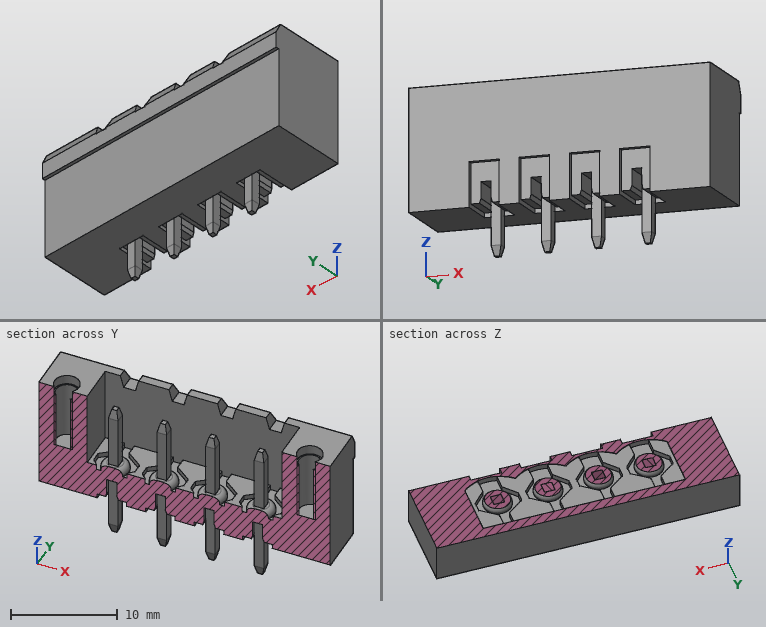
import cadquery as cq

LENGTH = 30
HEIGHT = 12
POLES = 4
PITCH = LENGTH / 6
POLE_XS = [(i - (POLES - 1) / 2) * PITCH for i in range(POLES)]
INSERT_XS = [-LENGTH / 2 + PITCH / 2, LENGTH / 2 - PITCH / 2]
PIN_Y = 3.8

LIP_Y = 8.5
REAR_Y = 8.13
LIP_BOTTOM_Z = 9
LIP_CHAMFER_DEPTH = 0.6
LIP_CHAMFER_HEIGHT = 1.2

CAVITY_REAR_Y = 7.0
SCALLOP_CUSP_Y = 1.7
SCALLOP_FRONT_Y = 0.8
FLOOR_Z = 4.0

RECESS_DEPTH = 0.5
RECESS_WIDTH = 4.25
RECESS_FRONT_WIDTH = 1.9
RECESS_REAR_WIDTH = 1.0
RECESS_FRONT_NECK_Y = 2.35
RECESS_WIDE_FRONT_Y = 3.6
RECESS_WIDE_REAR_Y = 4.6
RECESS_REAR_NECK_Y = 5.82

COLLAR_DIAMETER = 2.8
COLLAR_ROUNDING = 0.6
COLLAR_HEIGHT = 0.75

NOTCH_TOP_WIDTH = 1.9
NOTCH_BOTTOM_WIDTH = 1.2
NOTCH_DEPTH = 1.3

WINDOW_WIDTH = 3
WINDOW_HEIGHT = 4.4
WINDOW_DEPTH = 0.55
GROOVE_HEIGHT = 0.45
SLOT_HEIGHT = 2.52
FLARE_TOP_Z = 0.9
FLARE_WIDTH = 0.15

PIN_WIDTH = 1.0
PIN_TIP_WIDTH = 0.5
PIN_TAPER = 1.0
PIN_BOTTOM_Z = -4.0
PIN_TOP_Z = 10.75
PIN_REAR_Y = PIN_Y + PIN_WIDTH / 2

INSERT_DIAMETER = 2.5
INSERT_BORE = 2.2
INSERT_LENGTH = 6
INSERT_TOP_Z = 11.0
INSERT_BOTTOM_Z = INSERT_TOP_Z - INSERT_LENGTH


def block(width, x, y_start, y_end, z_start, z_end):
    """Box centred on x, between the given y and z limits."""
    return cq.Workplane("XY").box(
        width, y_end - y_start, z_end - z_start, centered=(True, False, False)
    ).translate((x, y_start, z_start))


def cylinder(diameter, x, y, z_start, z_end):
    """Upright cylinder between two heights."""
    return cq.Workplane("XY").circle(diameter / 2).extrude(z_end - z_start).translate((x, y, z_start))


def trapezoid_along_y(bottom_width, top_width, x, y_start, y_end, z_start, z_end):
    """Bar along Y whose cross-section is a symmetric trapezoid."""
    section = [
        (x - bottom_width / 2, z_start),
        (x + bottom_width / 2, z_start),
        (x + top_width / 2, z_end),
        (x - top_width / 2, z_end),
    ]
    bar = cq.Workplane("XZ").polyline(section).close().extrude(-(y_end - y_start))
    return bar.translate((0, y_start, 0))


def outer_block():
    """Long block with a chamfered lip at the top of its rear face."""
    profile = [
        (0, 0),
        (REAR_Y, 0),
        (REAR_Y, LIP_BOTTOM_Z),
        (LIP_Y, LIP_BOTTOM_Z),
        (LIP_Y, HEIGHT - LIP_CHAMFER_HEIGHT),
        (LIP_Y - LIP_CHAMFER_DEPTH, HEIGHT),
        (0, HEIGHT),
    ]
    return cq.Workplane("YZ").polyline(profile).close().extrude(LENGTH / 2, both=True)


def cavity(bottom_z):
    """Space for the plug from bottom_z up, with one scallop per pole along its front."""
    half_length = POLES * PITCH / 2
    outline = cq.Workplane("XY").moveTo(-half_length, CAVITY_REAR_Y).lineTo(-half_length, SCALLOP_CUSP_Y)
    for x in POLE_XS:
        outline = outline.threePointArc((x, SCALLOP_FRONT_Y), (x + PITCH / 2, SCALLOP_CUSP_Y))
    outline = outline.lineTo(half_length, CAVITY_REAR_Y).close()
    return outline.extrude(HEIGHT - bottom_z).translate((0, 0, bottom_z))


def keyhole_recess(x):
    """Recess around one pin, reaching the front and rear walls of the cavity."""
    right_side = [
        (RECESS_FRONT_WIDTH / 2, SCALLOP_FRONT_Y),
        (RECESS_FRONT_WIDTH / 2, RECESS_FRONT_NECK_Y),
        (RECESS_WIDTH / 2, RECESS_WIDE_FRONT_Y),
        (RECESS_WIDTH / 2, RECESS_WIDE_REAR_Y),
        (RECESS_REAR_WIDTH / 2, RECESS_REAR_NECK_Y),
        (RECESS_REAR_WIDTH / 2, CAVITY_REAR_Y),
    ]
    left_side = [(-half_width, y) for half_width, y in reversed(right_side)]
    recess = cq.Workplane("XY").polyline(right_side + left_side).close().extrude(RECESS_DEPTH)
    recess = recess.translate((x, 0, FLOOR_Z - RECESS_DEPTH))
    return recess.intersect(cavity(FLOOR_Z - RECESS_DEPTH))


def collar(x):
    """Round collar standing on the bottom of the recess, with a rounded top edge."""
    bottom_z = FLOOR_Z - RECESS_DEPTH
    plain = cylinder(COLLAR_DIAMETER, x, PIN_Y, bottom_z, bottom_z + COLLAR_HEIGHT)
    return plain.faces(">Z").edges().fillet(COLLAR_ROUNDING)


def notch(x):
    """Tapered notch through the top of the rear wall."""
    return trapezoid_along_y(
        NOTCH_BOTTOM_WIDTH, NOTCH_TOP_WIDTH, x, CAVITY_REAR_Y, LIP_Y, HEIGHT - NOTCH_DEPTH, HEIGHT
    )


def front_opening(x):
    """Window, underside groove and pin slot with a flared mouth for one pole."""
    window = block(WINDOW_WIDTH, x, 0, WINDOW_DEPTH, 0, WINDOW_HEIGHT)
    groove = block(WINDOW_WIDTH, x, 0, PIN_REAR_Y, 0, GROOVE_HEIGHT)
    slot = block(PIN_WIDTH, x, 0, PIN_REAR_Y, 0, SLOT_HEIGHT)
    flare = trapezoid_along_y(
        PIN_WIDTH + 2 * FLARE_WIDTH, PIN_WIDTH, x, 0, PIN_REAR_Y, GROOVE_HEIGHT, FLARE_TOP_Z
    )
    return window.union(groove).union(slot).union(flare)


def pin_point(x, base_z, height):
    """Tapered pin end; a negative height points it down."""
    taper = (
        cq.Workplane("XY")
        .rect(PIN_WIDTH, PIN_WIDTH)
        .workplane(offset=height)
        .rect(PIN_TIP_WIDTH, PIN_TIP_WIDTH)
        .loft()
    )
    return taper.translate((x, PIN_Y, base_z))


def make_pin(x):
    """Straight square pin with a tapered point at each end."""
    shaft_bottom_z = PIN_BOTTOM_Z + PIN_TAPER
    shaft_top_z = PIN_TOP_Z - PIN_TAPER
    shaft = block(PIN_WIDTH, x, PIN_Y - PIN_WIDTH / 2, PIN_REAR_Y, shaft_bottom_z, shaft_top_z)
    return shaft.union(pin_point(x, shaft_bottom_z, -PIN_TAPER)).union(pin_point(x, shaft_top_z, PIN_TAPER))


def make_insert(x):
    """Plain sleeve that lines the screw hole."""
    sleeve = cylinder(INSERT_DIAMETER, x, PIN_Y, INSERT_BOTTOM_Z, INSERT_TOP_Z)
    return sleeve.cut(cylinder(INSERT_BORE, x, PIN_Y, INSERT_BOTTOM_Z, INSERT_TOP_Z))


def make_housing():
    """Housing with the cavity, the pole features and a hole for every pin and insert."""
    body = outer_block().cut(cavity(FLOOR_Z))
    for x in POLE_XS:
        body = body.cut(keyhole_recess(x)).union(collar(x)).cut(notch(x)).cut(front_opening(x))
        body = body.cut(make_pin(x))
    for x in INSERT_XS:
        body = body.cut(cylinder(INSERT_DIAMETER, x, PIN_Y, INSERT_BOTTOM_Z, HEIGHT))
    return body


housing = make_housing()
pins = [make_pin(x) for x in POLE_XS]
inserts = [make_insert(x) for x in INSERT_XS]

result = cq.Compound.makeCompound(
    [housing.val(), *[pin.val() for pin in pins], *[insert.val() for insert in inserts]]
)